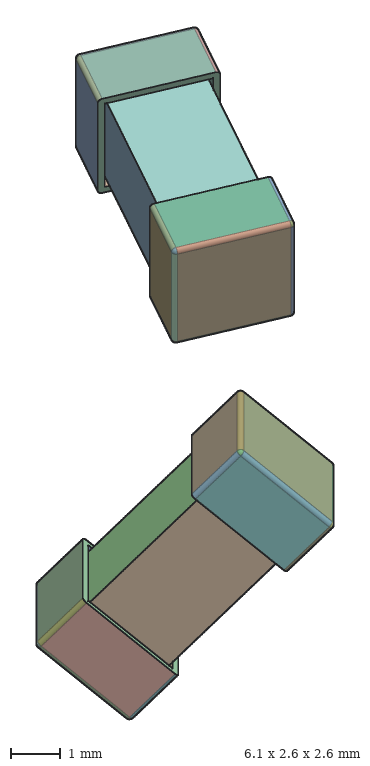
import cadquery as cq

total_length = 6.1
cap_side = 2.6
cap_length = 1.44
cap_wall = 0.15
edge_radius = 0.1
body_side = 2.15

cavity_side = cap_side - 2 * cap_wall
cavity_depth = cap_length - cap_wall
body_length = total_length - 2 * cap_wall


def make_body():
    """Square bar whose ends rest against the closed ends of the caps."""
    return cq.Workplane("XY").box(body_length, body_side, body_side)


def make_cap(direction):
    """Hollow square cap at the -X (direction -1) or +X (direction +1) end, open toward the middle."""
    outer_center = direction * (total_length - cap_length) / 2
    cavity_center = direction * (body_length - cavity_depth) / 2
    open_face = "<X" if direction > 0 else ">X"

    shell = cq.Workplane("XY").box(cap_length, cap_side, cap_side)
    shell = shell.edges(f"not {open_face}").fillet(edge_radius)
    shell = shell.translate((outer_center, 0, 0))

    cavity = (
        cq.Workplane("XY")
        .box(cavity_depth, cavity_side, cavity_side)
        .translate((cavity_center, 0, 0))
    )
    return shell.cut(cavity)


body = make_body()
caps = [make_cap(direction) for direction in (-1, 1)]

result = cq.Compound.makeCompound([body.val(), *[cap.val() for cap in caps]])